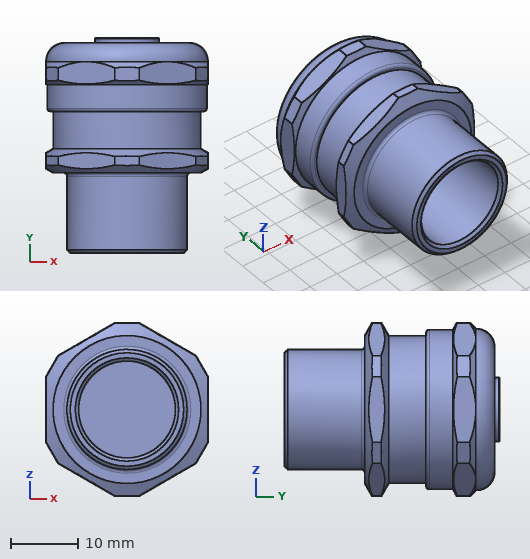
import cadquery as cq
import math

TOTAL_LENGTH = 32.0

FLANGE_START = 11.95
FLANGE_END = 15.52
COLLAR_START = 21.05
NUT_START = 25.05
DOME_START = 28.48
RIM_END = 31.3

ACROSS_FLATS = 24.13
ACROSS_CORNERS = 25.75
FLAT_RADIUS = ACROSS_FLATS / 2
CHAMFER_SLOPE = math.tan(math.radians(30))
NUT_REAR_RUN = 0.93
EDGE_OFFSET = ACROSS_FLATS - ACROSS_CORNERS / 2 * math.sqrt(3)
EDGE_RADIUS = math.hypot(ACROSS_CORNERS / 2, EDGE_OFFSET)

PIPE_RADIUS = 17.9 / 2
PIPE_CHAMFER = 0.5
NECK_RADIUS = 22.0 / 2
ROOT_FILLET = 0.5
COLLAR_RADIUS = 23.8 / 2
COLLAR_ROUND = 0.5

BORE_RADIUS = 14.4 / 2
BORE_MOUTH_RADIUS = 15.35 / 2
BORE_DEPTH = COLLAR_START

RECESS_RADIUS = 16.0 / 2
RECESS_DEPTH = 0.58
BUTTON_RADIUS = 4.8
BUTTON_CHAMFER = 0.13


def round_section(radius, start, end):
    """Cylinder on the Y axis between two stations."""
    return cq.Workplane("XZ", origin=(0, start, 0)).circle(radius).extrude(start - end)


def revolved(profile):
    """Turn a closed (radius, station) profile about the Y axis."""
    return profile.close().revolve(360, (0, 0, 0), (0, 1, 0))


def hexagon_prism(start, end):
    """Hexagon with flats toward +-X and its corners cut flat."""
    def six_sided(across, first_angle):
        corner = across / math.sqrt(3)
        points = []
        for i in range(6):
            angle = math.radians(first_angle + 60 * i)
            points.append((corner * math.cos(angle), corner * math.sin(angle)))
        plane = cq.Workplane("XZ", origin=(0, start, 0))
        return plane.polyline(points).close().extrude(start - end)

    return six_sided(ACROSS_FLATS, 30).intersect(six_sided(ACROSS_CORNERS, 0))


def make_flange():
    """Hexagon with 30 degree chamfers on both faces."""
    run = (EDGE_RADIUS - NECK_RADIUS) * CHAMFER_SLOPE
    envelope = revolved(
        cq.Workplane("XY")
        .moveTo(0, FLANGE_START)
        .lineTo(NECK_RADIUS, FLANGE_START)
        .lineTo(EDGE_RADIUS, FLANGE_START + run)
        .lineTo(EDGE_RADIUS, FLANGE_END - run)
        .lineTo(NECK_RADIUS, FLANGE_END)
        .lineTo(0, FLANGE_END)
    )
    return hexagon_prism(FLANGE_START, FLANGE_END).intersect(envelope)


def make_nut():
    """Chamfered hexagon closed by a quarter-round dome."""
    front_run = (EDGE_RADIUS - COLLAR_RADIUS) * CHAMFER_SLOPE
    dome_round = RIM_END - DOME_START
    rim_radius = FLAT_RADIUS - dome_round
    mid_radius = rim_radius + dome_round * math.sqrt(0.5)
    mid_station = DOME_START + dome_round * math.sqrt(0.5)
    envelope = revolved(
        cq.Workplane("XY")
        .moveTo(0, NUT_START)
        .lineTo(COLLAR_RADIUS, NUT_START)
        .lineTo(EDGE_RADIUS, NUT_START + front_run)
        .lineTo(EDGE_RADIUS, DOME_START - NUT_REAR_RUN)
        .lineTo(FLAT_RADIUS, DOME_START)
        .threePointArc((mid_radius, mid_station), (rim_radius, RIM_END))
        .lineTo(0, RIM_END)
    )
    return hexagon_prism(NUT_START, RIM_END).intersect(envelope)


def make_root_fillet():
    """Concave fillet where the pipe meets the flange."""
    outer = PIPE_RADIUS + ROOT_FILLET
    start = FLANGE_START - ROOT_FILLET
    offset = ROOT_FILLET * math.sqrt(0.5)
    return revolved(
        cq.Workplane("XY")
        .moveTo(0, start)
        .lineTo(PIPE_RADIUS, start)
        .threePointArc((outer - offset, start + offset), (outer, FLANGE_START))
        .lineTo(0, FLANGE_START)
    )


def make_bore():
    """Blind bore with a chamfered mouth."""
    return revolved(
        cq.Workplane("XY")
        .lineTo(BORE_MOUTH_RADIUS, 0)
        .lineTo(BORE_RADIUS, BORE_MOUTH_RADIUS - BORE_RADIUS)
        .lineTo(BORE_RADIUS, BORE_DEPTH)
        .lineTo(0, BORE_DEPTH)
    )


pipe = round_section(PIPE_RADIUS, 0, FLANGE_START).faces("<Y").chamfer(PIPE_CHAMFER)
neck = round_section(NECK_RADIUS, FLANGE_END, COLLAR_START)
collar = round_section(COLLAR_RADIUS, COLLAR_START, NUT_START).faces("<Y").edges().fillet(COLLAR_ROUND)
recess_floor = RIM_END - RECESS_DEPTH
recess = round_section(RECESS_RADIUS, recess_floor, RIM_END)
button = round_section(BUTTON_RADIUS, recess_floor, TOTAL_LENGTH).faces(">Y").chamfer(BUTTON_CHAMFER)

body = pipe.union(make_root_fillet()).union(make_flange()).union(neck).union(collar).union(make_nut())
result = body.cut(make_bore()).cut(recess).union(button)